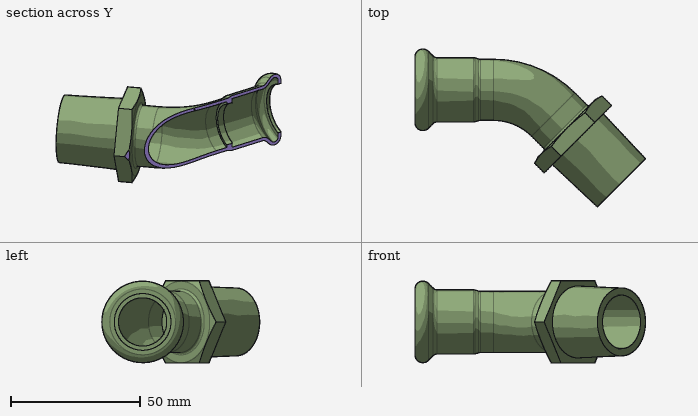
import cadquery as cq
import math


socket_radius = 25.0 / 2
wall = 1.5
bead_radius = 15.85
bead_arc_radius = 3.1
bead_flank_angle = math.radians(45)
bead_end = 8.65
lip_thickness = wall

tube_radius = 23.8 / 2
reducer_start = 22.75
reducer_end = 25.5
reducer_socket_arc = 2.0
reducer_tube_arc = 3.0
stop_radius = 9.36

bend_start = 30.45
bend_radius = 32.8
bend_angle = 45.0

outlet_straight = 7.4
weld_fillet = 0.9
hex_across_flats = 32.0
hex_thickness = 6.1
hex_chamfer_radius = 15.8
hex_chamfer_depth = 0.8
passage_radius = 8.0
male_length = 23.9
male_tip_radius = 13.22
male_taper = 1 / 32
male_bore_radius = 10.4

socket_bore_radius = socket_radius - wall
tube_bore_radius = tube_radius - wall
bead_centre_radius = bead_radius - bead_arc_radius
bead_fillet_radius = (
    (bead_end - bead_arc_radius) * math.sin(bead_flank_angle)
    + (socket_radius - bead_centre_radius) * math.cos(bead_flank_angle)
    - bead_arc_radius
) / (1 - math.cos(bead_flank_angle))
hex_start = outlet_straight
hex_end = hex_start + hex_thickness
male_end = hex_end + male_length
male_root_radius = male_tip_radius + male_length * male_taper


def polar(centre, radius, angle):
    """Point at an angle (radians, from +X) on a circle in the profile plane."""
    return (centre[0] + radius * math.cos(angle), centre[1] + radius * math.sin(angle))


def add_bead_flank(profile, inset):
    """Continue a profile from the bead's side over its crest and down to the socket.

    The inset is the distance inside the outer skin: zero outside, the wall thickness inside.
    """
    crest_centre = (bead_arc_radius, bead_centre_radius)
    crest_radius = bead_arc_radius - inset
    fillet_centre = (bead_end, socket_radius + bead_fillet_radius)
    fillet_radius = bead_fillet_radius + inset
    flank_normal = math.pi / 2 - bead_flank_angle
    fillet_start = -math.pi / 2 - bead_flank_angle
    fillet_middle = -math.pi / 2 - bead_flank_angle / 2
    return (
        profile.threePointArc(
            polar(crest_centre, crest_radius, math.pi / 2),
            polar(crest_centre, crest_radius, flank_normal),
        )
        .lineTo(*polar(fillet_centre, fillet_radius, fillet_start))
        .threePointArc(
            polar(fillet_centre, fillet_radius, fillet_middle),
            (bead_end, socket_radius - inset),
        )
    )


def revolve_about_x(profile):
    return profile.close().revolve(360, (0, 0, 0), (1, 0, 0))


def reducer_slope():
    """Angle of the reducer's cone, tangent to the arcs at both of its ends."""
    length = reducer_end - reducer_start
    drop = socket_radius - tube_radius
    arcs = reducer_socket_arc + reducer_tube_arc
    reach = math.hypot(length, arcs - drop)
    return math.atan2(length, arcs - drop) - math.acos(arcs / reach)


def socket_outside():
    slope = reducer_slope()
    upper = (reducer_start, socket_radius - reducer_socket_arc)
    lower = (reducer_end, tube_radius + reducer_tube_arc)
    upward = math.pi / 2
    downward = -math.pi / 2
    profile = cq.Workplane("XY").lineTo(0, bead_centre_radius)
    profile = add_bead_flank(profile, 0)
    profile = (
        profile.lineTo(reducer_start, socket_radius)
        .threePointArc(
            polar(upper, reducer_socket_arc, upward - slope / 2),
            polar(upper, reducer_socket_arc, upward - slope),
        )
        .lineTo(*polar(lower, reducer_tube_arc, downward - slope))
        .threePointArc(
            polar(lower, reducer_tube_arc, downward - slope / 2),
            (reducer_end, tube_radius),
        )
        .lineTo(bend_start, tube_radius)
        .lineTo(bend_start, 0)
    )
    return revolve_about_x(profile)


def socket_inside():
    profile = (
        cq.Workplane("XY")
        .lineTo(0, socket_bore_radius)
        .lineTo(lip_thickness, socket_bore_radius)
        .lineTo(lip_thickness, bead_centre_radius)
    )
    profile = add_bead_flank(profile, wall)
    profile = (
        profile.lineTo(reducer_start, socket_bore_radius)
        .lineTo(reducer_start, stop_radius)
        .lineTo(reducer_end, stop_radius)
        .lineTo(reducer_end, tube_bore_radius)
        .lineTo(bend_start, tube_bore_radius)
        .lineTo(bend_start, 0)
    )
    return revolve_about_x(profile)


def bend(radius):
    """Solid round bar of the given radius swept round the bend."""
    return (
        cq.Workplane("YZ", origin=(bend_start, 0, 0))
        .circle(radius)
        .revolve(bend_angle, (-bend_radius, 1, 0), (-bend_radius, 0, 0))
    )


def to_outlet(body):
    """Move a body built along +X from the origin onto the outlet axis at the end of the bend."""
    turn = math.radians(bend_angle)
    end_x = bend_start + bend_radius * math.sin(turn)
    end_y = -bend_radius * (1 - math.cos(turn))
    return body.rotate((0, 0, 0), (0, 0, 1), -bend_angle).translate((end_x, end_y, 0))


def outlet_tube():
    fillet_start = hex_start - weld_fillet
    fillet_centre = (fillet_start, tube_radius + weld_fillet)
    profile = (
        cq.Workplane("XY")
        .lineTo(0, tube_radius)
        .lineTo(fillet_start, tube_radius)
        .threePointArc(
            polar(fillet_centre, weld_fillet, -math.pi / 4),
            (hex_start, tube_radius + weld_fillet),
        )
        .lineTo(hex_start, 0)
    )
    return revolve_about_x(profile)


def hexagon():
    corner_radius = hex_across_flats / math.sqrt(3)
    prism = (
        cq.Workplane("YZ", origin=(hex_start, 0, 0))
        .polygon(6, 2 * corner_radius)
        .extrude(hex_thickness)
    )
    chamfer_cone = revolve_about_x(
        cq.Workplane("XY")
        .moveTo(hex_start, 0)
        .lineTo(hex_start, hex_chamfer_radius)
        .lineTo(hex_start + hex_chamfer_depth, corner_radius)
        .lineTo(hex_end, corner_radius)
        .lineTo(hex_end, 0)
    )
    return prism.intersect(chamfer_cone)


def male_cone():
    return revolve_about_x(
        cq.Workplane("XY")
        .moveTo(hex_end, 0)
        .lineTo(hex_end, male_root_radius)
        .lineTo(male_end, male_tip_radius)
        .lineTo(male_end, 0)
    )


def outlet_inside():
    return revolve_about_x(
        cq.Workplane("XY")
        .lineTo(0, tube_bore_radius)
        .lineTo(hex_start, tube_bore_radius)
        .lineTo(hex_start, passage_radius)
        .lineTo(hex_end, passage_radius)
        .lineTo(hex_end, male_bore_radius)
        .lineTo(male_end, male_bore_radius)
        .lineTo(male_end, 0)
    )


outlet_outside = outlet_tube().union(hexagon()).union(male_cone())
outside = socket_outside().union(bend(tube_radius)).union(to_outlet(outlet_outside))
inside = socket_inside().union(bend(tube_bore_radius)).union(to_outlet(outlet_inside()))
result = outside.cut(inside)